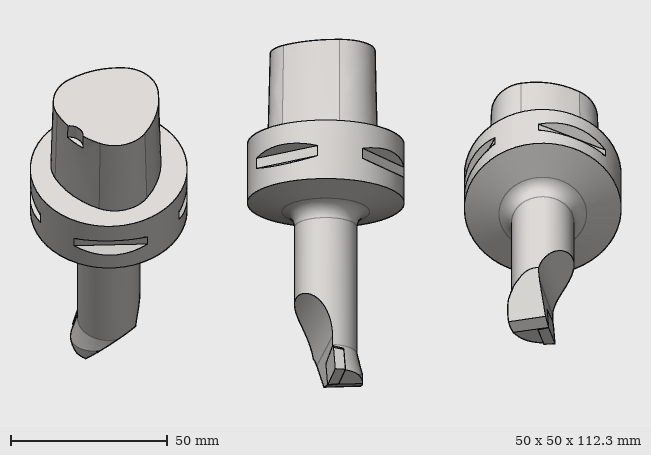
import cadquery as cq
import math

flange_radius = 25.0
flange_height = 19.6

shank_height = 30.0
lobe_tip = 18.6
lobe_flat = 16.4
lobe_radius = 12.2
shank_shrink = shank_height / 40

notch_depth = 5.4
notch_radius = 4.4
notch_bottom_y = -13.9

groove_z = -10.2
groove_floor_height = 3.4
groove_floor_distance = 22.1
groove_side_angle = 30

neck_radius = 10.0
neck_cone_angle = 15
neck_fillet = 5.4
neck_bottom = -70.2

flare_angle = 14
head_shift_x = -1.0
head_limit_radius = 11.6
head_floor = -85.3

rake_angle = 6
rake_offset = 0.8
pocket_radius = 20.0
pocket_arc_bottom = -70.1
pocket_axis_tilt = 15
pocket_size = 44.9

insert_tip = (-12.9, -79.3)
insert_low = (-4.6, -82.3)
insert_top = (-11.0, -71.6)
insert_corner_cut = 0.9
insert_thickness = 3.6
insert_clearance_angle = 7

insert_overhang = 0.2
relief_angle = 7
heel = (-0.6, -81.7)
back_cut_top = (10.1, -68.5)


def polar(radius, angle):
    a = math.radians(angle)
    return radius * math.cos(a), radius * math.sin(a)


def shank_outline(z, inset):
    """Three lobe arcs joined tangentially by three flatter arcs."""
    lobe_center = lobe_tip - lobe_radius
    r = lobe_radius - inset
    flat = lobe_flat - inset
    offset = lobe_center / 2 - flat
    side_radius = (r**2 - 0.75 * lobe_center**2 - offset**2) / (2 * (offset + r))
    rise = math.sin(math.radians(60)) * lobe_center / (side_radius - r)
    seam_angle = 60 - math.degrees(math.asin(rise))

    def seam(axis, side):
        cx, cy = polar(lobe_center, axis)
        dx, dy = polar(r, axis + side * seam_angle)
        return cx + dx, cy + dy

    outline = cq.Workplane("XY", origin=(0, 0, z)).moveTo(*seam(90, -1))
    for axis in (90, 210, 330):
        outline = outline.threePointArc(polar(lobe_center + r, axis), seam(axis, 1))
        outline = outline.threePointArc(polar(flat, axis + 60), seam(axis + 120, -1))
    return outline.close().wire().val()


def make_shank():
    base = shank_outline(0, 0)
    top = shank_outline(shank_height, shank_shrink)
    shank = cq.Workplane(cq.Solid.makeLoft([base, top], True))
    notch = (
        cq.Workplane("XY", origin=(0, notch_bottom_y - notch_radius, shank_height))
        .circle(notch_radius)
        .extrude(-notch_depth)
    )
    return shank.cut(notch)


def make_turned_body():
    """Flange, conical underside, fillet, neck and flared head in one revolution."""
    slope = math.radians(neck_cone_angle)
    cone_drop = (flange_radius - neck_radius) * math.tan(slope)
    corner_z = -flange_height - cone_drop
    tangent = neck_fillet * math.tan(math.radians((90 - neck_cone_angle) / 2))
    fillet_start = (neck_radius + tangent * math.cos(slope), corner_z + tangent * math.sin(slope))
    fillet_end = (neck_radius, corner_z - tangent)
    head_radius = neck_radius + (neck_bottom - head_floor) * math.tan(math.radians(flare_angle))

    upper = (
        cq.Workplane("XZ")
        .lineTo(flange_radius, 0)
        .lineTo(flange_radius, -flange_height)
        .lineTo(*fillet_start)
        .tangentArcPoint(fillet_end, relative=False)
        .lineTo(neck_radius, neck_bottom)
        .lineTo(0, neck_bottom)
        .close()
        .revolve(360, (0, 0, 0), (0, 1, 0))
    )
    head = (
        cq.Workplane("XZ")
        .moveTo(0, neck_bottom)
        .lineTo(neck_radius, neck_bottom)
        .lineTo(head_radius, head_floor)
        .lineTo(0, head_floor)
        .close()
        .revolve(360, (0, 0, 0), (0, 1, 0))
    )
    limit = (
        cq.Workplane("XY", origin=(head_shift_x, 0, head_floor))
        .circle(head_limit_radius)
        .extrude(neck_bottom - head_floor)
    )
    return upper.union(head.intersect(limit))


def make_groove(angle):
    """Trapezoidal groove across the flange, facing the given direction."""
    depth = flange_radius - groove_floor_distance
    floor = groove_floor_height / 2
    mouth = floor + depth * math.tan(math.radians(groove_side_angle))
    return (
        cq.Workplane("XZ")
        .moveTo(groove_floor_distance, groove_z - floor)
        .lineTo(groove_floor_distance, groove_z + floor)
        .lineTo(flange_radius, groove_z + mouth)
        .lineTo(flange_radius, groove_z - mouth)
        .close()
        .extrude(flange_radius, both=True)
        .rotate((0, 0, 0), (0, 0, 1), angle)
    )


def turn_to_rake(body):
    return body.rotate((0, 0, 0), (0, 0, 1), rake_angle)


def make_chip_pocket():
    """Flat rake face running out upwards along a concave arc."""
    arc_center_y = rake_offset + pocket_radius
    pocket = (
        cq.Workplane("YZ")
        .moveTo(rake_offset, head_floor - pocket_size)
        .lineTo(rake_offset, pocket_arc_bottom)
        .radiusArc((arc_center_y, pocket_arc_bottom + pocket_radius), pocket_radius)
        .lineTo(arc_center_y, head_floor - pocket_size)
        .close()
        .extrude(pocket_size / 2, both=True)
        .rotate((0, 0, pocket_arc_bottom), (0, 1, pocket_arc_bottom), pocket_axis_tilt)
    )
    return turn_to_rake(pocket)


def make_end_relief():
    """Material below the cutting edge, the cut rising away from the rake face."""
    edge_run = insert_low[0] - insert_tip[0]
    edge_slope = (insert_low[1] - insert_tip[1]) / edge_run
    left_x = -pocket_size / 2
    left_z = insert_tip[1] + insert_overhang + edge_slope * (left_x - insert_tip[0])
    heel_slope = (heel[1] - insert_low[1] - insert_overhang) / (heel[0] - insert_low[0])
    right_x = pocket_size / 2
    right_z = heel[1] + heel_slope * (right_x - heel[0])
    relief = (
        cq.Workplane("XZ", origin=(0, rake_offset, 0))
        .moveTo(left_x, left_z)
        .lineTo(insert_low[0], insert_low[1] + insert_overhang)
        .lineTo(right_x, right_z)
        .lineTo(right_x, head_floor - pocket_size)
        .lineTo(left_x, head_floor - pocket_size)
        .close()
        .extrude(pocket_size / 2, both=True)
        .rotate((0, rake_offset, heel[1]), (1, rake_offset, heel[1]), -relief_angle)
    )
    return turn_to_rake(relief)


def make_back_cut():
    """Slanting cut on the side of the head opposite the insert."""
    slope = (back_cut_top[0] - heel[0]) / (back_cut_top[1] - heel[1])
    floor_x = heel[0] + slope * (head_floor - heel[1])
    top_x = back_cut_top[0] + slope * (neck_bottom - head_floor)
    return (
        cq.Workplane("XZ")
        .moveTo(floor_x, head_floor)
        .lineTo(top_x, back_cut_top[1] + neck_bottom - head_floor)
        .lineTo(top_x, head_floor)
        .close()
        .extrude(pocket_size / 2, both=True)
    )


def make_insert():
    """Parallelogram plate with one cut corner, its top flush with the rake face."""
    inner_x = insert_low[0] + insert_top[0] - insert_tip[0]
    inner_z = insert_low[1] + insert_top[1] - insert_tip[1]
    insert = (
        cq.Workplane("XZ", origin=(0, rake_offset, 0))
        .moveTo(*insert_tip)
        .lineTo(*insert_low)
        .lineTo(inner_x, inner_z)
        .lineTo(insert_top[0] + insert_corner_cut, insert_top[1] + insert_corner_cut)
        .lineTo(*insert_top)
        .close()
        .extrude(insert_thickness, taper=insert_clearance_angle)
    )
    return turn_to_rake(insert)


def make_holder(insert):
    holder = make_turned_body().union(make_shank())
    for angle in (45, 135, 225, 315):
        holder = holder.cut(make_groove(angle))
    for cutter in (make_chip_pocket(), make_end_relief(), make_back_cut()):
        holder = holder.cut(cutter)
    return holder.cut(insert)


insert = make_insert()
holder = make_holder(insert)

result = cq.Compound.makeCompound([holder.val(), insert.val()])